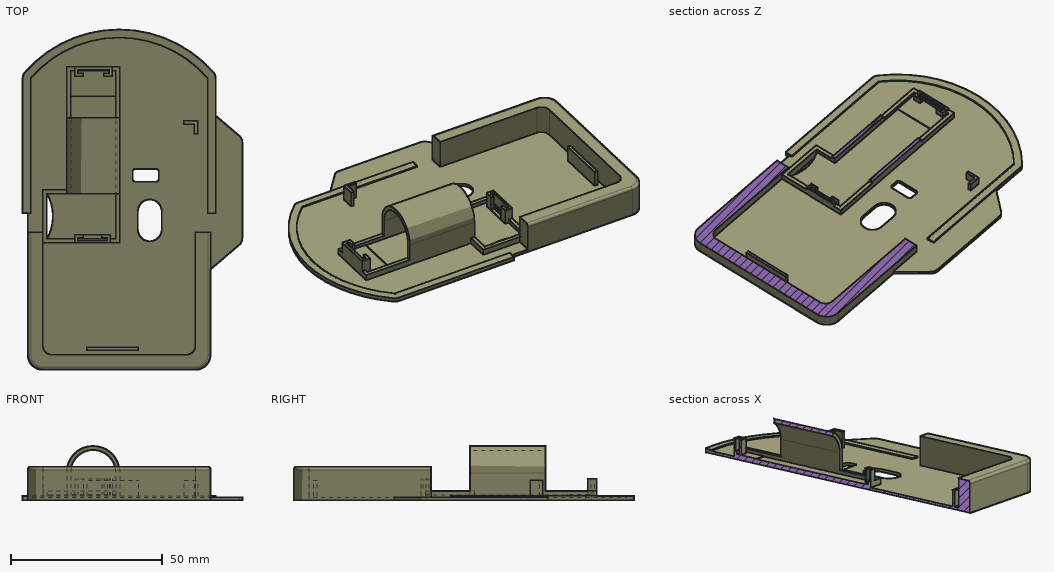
import cadquery as cq
import math

body_length = 112.25
body_width = 60.3
floor_thickness = 1.05
total_height = 17.96

wall_thickness = 5.0
wall_height = 11.15
wall_length = 45.3
wall_corner_radius = 5.0
wall_inner_radius = 3.0
wall_top_fillet = 1.0

rim_outer_half = 31.86
rim_inner_half = 29.15
rim_width = rim_outer_half - rim_inner_half
rim_height = 1.45
rim_start_y = 51.7
dome_outer_radius = 41.2
dome_center_y = body_length - dome_outer_radius
dome_inner_radius = dome_outer_radius - rim_width
rim_corner_radius = 3.0

tab_tip_x = 40.67
tab_center_y = 59.2
tab_tip_half = 17.1
tab_edge_angle = 40.4
tab_corner_radius = 3.0

tray_wall = 1.37
tray_height = 3.1
tray_channel = 14.8
tray_width = tray_channel + 2 * tray_wall
tray_right_x = 0.2
tray_center_x = tray_right_x - tray_width / 2
tray_bottom_y = 41.9
tray_top_y = 99.95
tray_foot_left_x = wall_thickness - body_width / 2
tray_foot_top_y = tray_bottom_y + tray_width

arch_outer_radius = tray_width / 2
arch_inner_radius = tray_channel / 2
arch_axis_z = total_height - arch_outer_radius
arch_start_y = tray_foot_top_y - tray_wall
arch_length = 25.0

tray_floor_z = arch_axis_z - arch_inner_radius
raised_floor_step = 0.2
raised_floor_z = tray_floor_z + raised_floor_step
raised_floor_start_y = 90.2

crescent_depth = 1.9

clip_left_x = -14.7
clip_height = 7.15
clip_wall = 1.0
clip_lip = 2.8
upper_clip_width = 12.5
upper_clip_depth = 3.1
upper_clip_back = 0.95
lower_clip_width = 11.85
lower_clip_depth = 2.65
lower_clip_back = 0.7

stop_height = 6.6
stop_thickness = 1.1
corner_stop_x = 25.9
corner_stop_y = 82.1
corner_stop_leg_x = 4.6
corner_stop_leg_y = 4.2
bar_stop_center_x = -2.2
bar_stop_center_y = 7.0
bar_stop_length = 17.1

window_center = (8.75, 64.15)
window_size = (8.5, 4.1)
window_corner_radius = 0.7
slot_center = (10.1, 49.3)
slot_length = 13.7
slot_width = 7.8


def block(x0, x1, y0, y1, z0, z1):
    """Axis-aligned box between two opposite corners."""
    return cq.Workplane("XY").box(x1 - x0, y1 - y0, z1 - z0, centered=False).translate((x0, y0, z0))


def domed_plate(half_width, radius, start_y, thickness):
    """Plate with straight sides and an arc-shaped far end."""
    shoulder_y = dome_center_y + math.sqrt(radius**2 - half_width**2)
    return (
        cq.Workplane("XY")
        .moveTo(-half_width, start_y)
        .lineTo(half_width, start_y)
        .lineTo(half_width, shoulder_y)
        .threePointArc((0, dome_center_y + radius), (-half_width, shoulder_y))
        .close()
        .extrude(thickness)
    )


def make_rim():
    """Domed floor with a low rim, open toward the square end."""
    outer = domed_plate(rim_outer_half, dome_outer_radius, rim_start_y, rim_height)
    outer = outer.edges("|Z").edges(">Y").fillet(rim_corner_radius)
    inner = domed_plate(rim_inner_half, dome_inner_radius, rim_start_y, rim_height)
    return outer.cut(inner.translate((0, 0, floor_thickness)))


def make_base():
    """Flat floor of the square end."""
    half = body_width / 2
    plate = block(-half, half, 0, rim_start_y, 0, floor_thickness)
    return plate.edges("|Z and <Y").fillet(wall_corner_radius)


def make_wall():
    """Tall U-shaped wall with a rounded outer top edge."""
    half = body_width / 2
    inner_half = half - wall_thickness
    outer = block(-half, half, 0, wall_length, 0, wall_height)
    outer = outer.edges("|Z and <Y").fillet(wall_corner_radius)
    outer = outer.faces(">Z").edges("not >Y").fillet(wall_top_fillet)
    inner = block(-inner_half, inner_half, wall_thickness, wall_length, 0, wall_height)
    return outer.cut(inner.edges("|Z and <Y").fillet(wall_inner_radius))


def make_tab():
    """Trapezoidal tab on the +X side, at floor level."""
    root_x = rim_inner_half
    root_half = tab_tip_half + (tab_tip_x - root_x) * math.tan(math.radians(tab_edge_angle))
    tab = (
        cq.Workplane("XY")
        .polyline([
            (root_x, tab_center_y - root_half),
            (tab_tip_x, tab_center_y - tab_tip_half),
            (tab_tip_x, tab_center_y + tab_tip_half),
            (root_x, tab_center_y + root_half),
        ])
        .close()
        .extrude(floor_thickness)
    )
    return tab.edges("|Z and >X").fillet(tab_corner_radius)


def tray_plan(inset, z0, z1):
    """L-shaped block following the tray outline, moved inward by the inset."""
    right = tray_right_x - inset
    bottom = tray_bottom_y + inset
    leg = block(tray_right_x - tray_width + inset, right, bottom, tray_top_y - inset, z0, z1)
    foot = block(tray_foot_left_x + inset, right, bottom, tray_foot_top_y - inset, z0, z1)
    return leg.union(foot)


def arch_body(radius):
    """Solid arch with vertical sides, standing on the floor."""
    sides = block(
        tray_center_x - radius, tray_center_x + radius,
        arch_start_y, arch_start_y + arch_length, floor_thickness, arch_axis_z,
    )
    crown = (
        cq.Workplane("XZ", origin=(tray_center_x, arch_start_y, arch_axis_z))
        .circle(radius)
        .extrude(-arch_length)
    )
    below_axis = block(
        tray_center_x - radius, tray_center_x + radius,
        arch_start_y, arch_start_y + arch_length, arch_axis_z - radius, arch_axis_z,
    )
    return sides.union(crown.cut(below_axis))


def make_clip(width, depth, back, outer_y, inward):
    """C-shaped holder whose open side faces inward (+1 or -1 along Y)."""
    right = clip_left_x + width

    def span(x0, x1, near, far):
        y0, y1 = sorted((outer_y + inward * near, outer_y + inward * far))
        return block(x0, x1, y0, y1, tray_floor_z, clip_height)

    clip = span(clip_left_x, right, 0, depth)
    clip = clip.cut(span(clip_left_x + clip_wall, right - clip_wall, back, depth - clip_wall))
    return clip.cut(span(clip_left_x + clip_lip, right - clip_lip, back, depth))


def make_raised_floors():
    """Shallow pads: across the upper end of the tray and under the lower clip."""
    upper = block(
        tray_center_x - arch_inner_radius, tray_center_x + arch_inner_radius,
        raised_floor_start_y, tray_top_y - tray_wall, tray_floor_z, raised_floor_z,
    )
    lower = block(
        clip_left_x, clip_left_x + lower_clip_width,
        tray_bottom_y + tray_wall, tray_bottom_y + lower_clip_depth, tray_floor_z, raised_floor_z,
    )
    return upper.union(lower)


def make_corner_stop():
    """L-shaped upright with its corner toward +X and +Y."""
    x0 = corner_stop_x - corner_stop_leg_x
    y0 = corner_stop_y - corner_stop_leg_y
    stop = block(x0, corner_stop_x, y0, corner_stop_y, floor_thickness, stop_height)
    return stop.cut(block(
        x0, corner_stop_x - stop_thickness, y0, corner_stop_y - stop_thickness, floor_thickness, stop_height,
    ))


def make_bar_stop():
    """Straight rib close to the square end."""
    bar = cq.Workplane("XY").box(bar_stop_length, stop_thickness, stop_height, centered=(True, True, False))
    return bar.translate((bar_stop_center_x, bar_stop_center_y, 0))


def make_crescent():
    """Circular-segment opening through the tray floor."""
    x = tray_foot_left_x + tray_wall
    y0 = tray_bottom_y + tray_wall
    y1 = y0 + tray_channel
    return (
        cq.Workplane("XY")
        .moveTo(x, y0)
        .threePointArc((x + crescent_depth, (y0 + y1) / 2), (x, y1))
        .close()
        .extrude(tray_height)
    )


def make_floor_openings():
    """Small rounded window and a full-round slot."""
    window = cq.Workplane("XY").center(*window_center).rect(*window_size).extrude(floor_thickness)
    window = window.edges("|Z").fillet(window_corner_radius)
    slot = cq.Workplane("XY").center(*slot_center).slot2D(slot_length, slot_width, 90)
    slot = slot.extrude(floor_thickness)
    return window.union(slot)


tray = tray_plan(0, 0, tray_height)
cover = arch_body(arch_outer_radius).cut(arch_body(arch_inner_radius))
upper_clip = make_clip(upper_clip_width, upper_clip_depth, upper_clip_back, tray_top_y, -1)
lower_clip = make_clip(lower_clip_width, lower_clip_depth, lower_clip_back, tray_bottom_y, 1)

result = make_rim().union(make_base()).union(make_tab()).union(make_wall())
result = result.union(tray).cut(tray_plan(tray_wall, tray_floor_z, tray_height))
result = result.union(cover).union(make_raised_floors()).union(upper_clip).union(lower_clip)
result = result.union(make_corner_stop()).union(make_bar_stop())
result = result.cut(make_crescent()).cut(make_floor_openings())